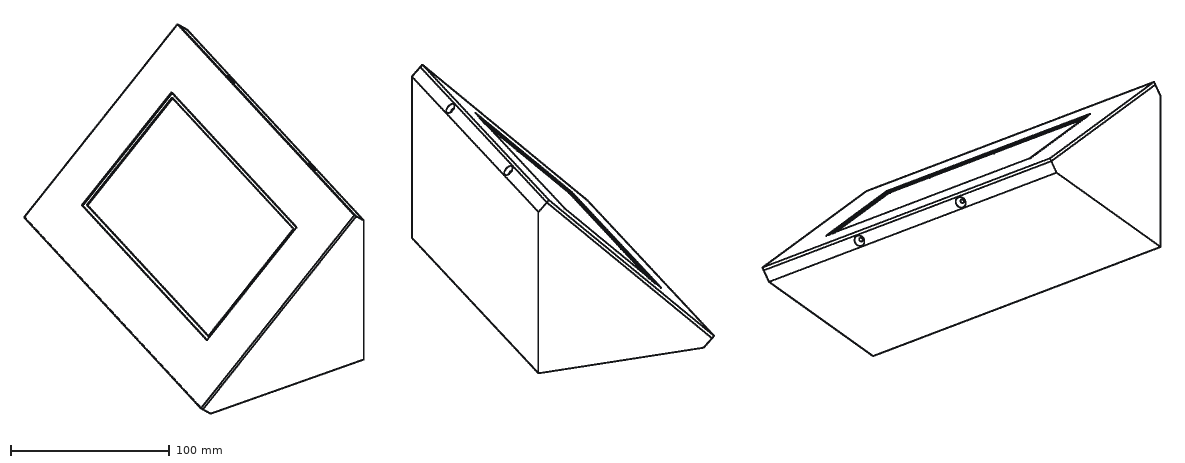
import cadquery as cq
import math

TILT_ANGLE = 45.0
WIDTH = 225.0
FACE_LENGTH = 158.0
OUTER_HEIGHT = 118.8

PLATE_THICKNESS = 2.0
WINDOW_WIDTH = 159.0
WINDOW_LENGTH = 92.2
FRAME_BORDER = 2.2
FRAME_RECESS = 1.0
SCREEN_RECESS = 1.4

UPPER_HOLE_SPACING = 103.0
LOWER_HOLE_SPACING = 79.2
HOLE_DIAMETER = 2.5
SINK_DIAMETER = 7.0
HOLE_DEPTH = 6.8

half_face = FACE_LENGTH / 2
edge_depth = OUTER_HEIGHT / math.sin(math.radians(TILT_ANGLE)) - FACE_LENGTH
opening_width = WINDOW_WIDTH - 2 * FRAME_BORDER
opening_length = WINDOW_LENGTH - 2 * FRAME_BORDER
back_corner_depth = edge_depth + half_face * math.tan(math.radians(TILT_ANGLE))
sink_depth = (SINK_DIAMETER - HOLE_DIAMETER) / 2
hole_level = -(PLATE_THICKNESS + edge_depth) / 2


def slab(width, length, top_depth, bottom_depth):
    """Centred rectangular block between two depths below the front face."""
    return (
        cq.Workplane("XY", origin=(0, 0, -bottom_depth))
        .rect(width, length)
        .extrude(bottom_depth - top_depth)
    )


def countersunk_hole(x, end):
    """Cutter for a blind hole going in from the upper (end=1) or lower (end=-1) end face."""
    hole_radius = HOLE_DIAMETER / 2
    profile = [
        (0, 0),
        (SINK_DIAMETER / 2, 0),
        (hole_radius, -sink_depth),
        (hole_radius, -HOLE_DEPTH),
        (0, -HOLE_DEPTH),
    ]
    axis_plane = cq.Plane(
        origin=(x, end * half_face, hole_level), xDir=(1, 0, 0), normal=(0, 0, end)
    )
    return cq.Workplane(axis_plane).polyline(profile).close().revolve(360, (0, 0, 0), (0, 1, 0))


def make_housing():
    """Wedge behind the plate, with two countersunk holes in each narrow end face."""
    outline = [
        (-half_face, -PLATE_THICKNESS),
        (half_face, -PLATE_THICKNESS),
        (half_face, -edge_depth),
        (0, -back_corner_depth),
        (-half_face, -edge_depth),
    ]
    body = cq.Workplane("YZ").polyline(outline).close().extrude(WIDTH / 2, both=True)
    for end, spacing in ((1, UPPER_HOLE_SPACING), (-1, LOWER_HOLE_SPACING)):
        for side in (-1, 1):
            body = body.cut(countersunk_hole(side * spacing / 2, end))
    return body


def make_plate():
    """Front plate with a rectangular window."""
    window = slab(WINDOW_WIDTH, WINDOW_LENGTH, 0, PLATE_THICKNESS)
    return slab(WIDTH, FACE_LENGTH, 0, PLATE_THICKNESS).cut(window)


def make_frame():
    """Narrow rim inside the window, set below the plate front."""
    opening = slab(opening_width, opening_length, FRAME_RECESS, PLATE_THICKNESS)
    return slab(WINDOW_WIDTH, WINDOW_LENGTH, FRAME_RECESS, PLATE_THICKNESS).cut(opening)


def make_screen():
    """Flat panel filling the frame opening, set below the frame front."""
    return slab(opening_width, opening_length, SCREEN_RECESS, PLATE_THICKNESS)


def tilted(body):
    """Lean a flat body back so that its front face slopes."""
    return body.rotate((0, 0, 0), (1, 0, 0), TILT_ANGLE)


housing = tilted(make_housing())
plate = tilted(make_plate())
frame = tilted(make_frame())
screen = tilted(make_screen())

result = cq.Compound.makeCompound([housing.val(), plate.val(), frame.val(), screen.val()])